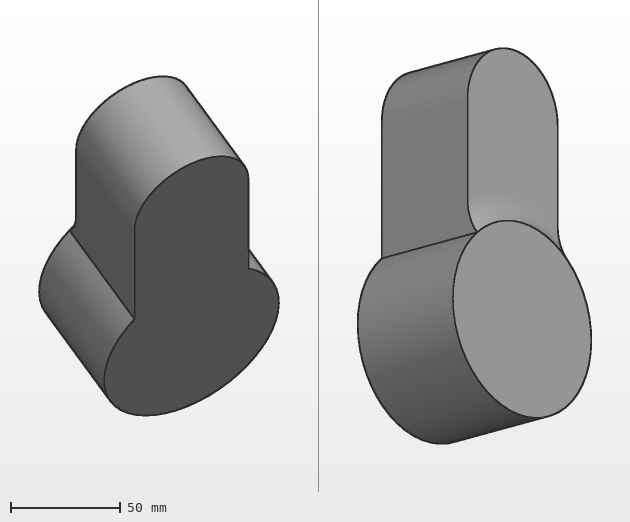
import cadquery as cq
import math

overall_height = 176.0
thickness = 60.0
disc_diameter = 92.0
arm_width = 60.0
arm_step = 6.0
blend_radius = 20.0

disc_radius = disc_diameter / 2
arm_end_radius = arm_width / 2
arm_length = overall_height - disc_radius - arm_end_radius


def arm(front_x):
    """Round-ended arm rising from the disc axis, from front_x to the back face."""
    return (
        cq.Workplane("YZ", origin=(front_x, 0, 0))
        .moveTo(-arm_end_radius, 0)
        .lineTo(arm_end_radius, 0)
        .lineTo(arm_end_radius, arm_length)
        .threePointArc((0, arm_length + arm_end_radius), (-arm_end_radius, arm_length))
        .close()
        .extrude(thickness - front_x)
    )


def blend():
    """Flared ring around the disc axis, trimmed to the width of the arm."""
    sweep_angle = math.acos(1 - arm_step / blend_radius)
    outer_radius = disc_radius + blend_radius * math.sin(sweep_angle)
    middle_x = arm_step - blend_radius * (1 - math.cos(sweep_angle / 2))
    middle_radius = outer_radius - blend_radius * math.sin(sweep_angle / 2)
    flare = (
        cq.Workplane("XY")
        .lineTo(0, disc_radius)
        .threePointArc((middle_x, middle_radius), (arm_step, outer_radius))
        .lineTo(thickness, outer_radius)
        .lineTo(thickness, 0)
        .close()
        .revolve(360, (0, 0, 0), (1, 0, 0))
    )
    return flare.intersect(arm(0))


disc = cq.Workplane("YZ").circle(disc_radius).extrude(thickness)
result = disc.union(arm(arm_step)).union(blend())